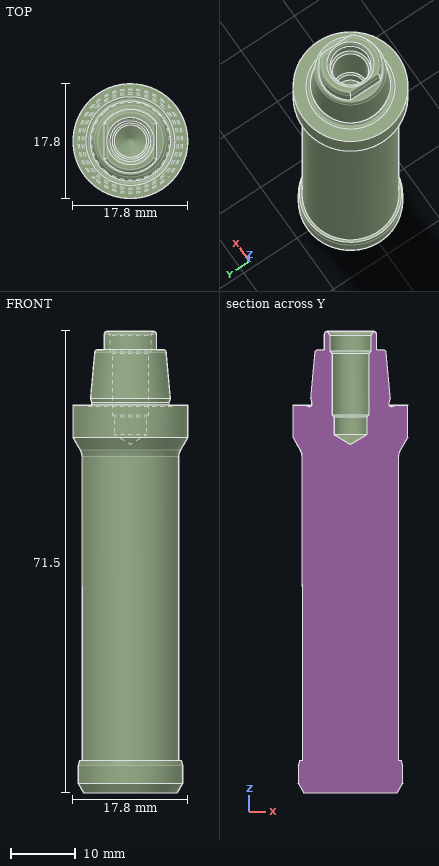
import math

import cadquery as cq

overall_height = 71.45
base_chamfer_top = 1.5
band_bevel_start = 4.3
band_top = 5.05
collar_bottom = 55.0
collar_top = 60.0
neck_top = 60.4
taper_start = 61.0
taper_top = 68.6

tube_radius = 7.5
band_radius = 8.1
collar_radius = 8.9
undercut_outer_radius = 6.87
neck_radius = 6.0
taper_bottom_radius = 6.2
taper_top_radius = 5.5
tip_radius = 4.9

base_chamfer_angle = 30.0
band_bevel_angle = 15.0
collar_underside_angle = 30.0
undercut_face_angle = 25.0

collar_root_round = 2.0
undercut_round = 0.35
taper_top_round = 0.45
tip_round = 0.5

width_across_flats = 8.1

mouth_radius = 3.65
center_cone_radius = 3.38
counterbore_radius = 3.15
bore_radius = 2.8
drill_radius = 2.5
mouth_angle = 45.0
center_cone_angle = 30.0
ledge_angle = 45.0
point_angle = 59.0
counterbore_depth = 3.1
bore_depth = 13.0
drill_depth = 16.0


def slope(angle):
    """Change of radius per unit of height for a cone at this angle from the axis."""
    return math.tan(math.radians(angle))


def revolve_outline(points):
    """Solid of revolution about Z from (radius, height) points that start and end on the axis."""
    return cq.Workplane("XZ").polyline(points).close().revolve(360, (0, 0), (0, 1))


def edges_at_height(body, height):
    """All edges that lie in the horizontal plane at this height."""
    reach = 2 * collar_radius
    margin = 0.01
    slab = cq.selectors.BoxSelector(
        (-reach, -reach, height - margin), (reach, reach, height + margin), boundingbox=True
    )
    return body.edges(slab)


def make_body():
    """Banded tube, collar, undercut and tapered seat, with their rounds."""
    base_radius = band_radius - base_chamfer_top * slope(base_chamfer_angle)
    band_top_radius = band_radius - (band_top - band_bevel_start) * slope(band_bevel_angle)
    collar_root = collar_bottom - (collar_radius - tube_radius) / slope(collar_underside_angle)

    undercut_bottom = collar_top - (undercut_outer_radius - neck_radius) * slope(undercut_face_angle)

    body = revolve_outline([
        (0, 0),
        (base_radius, 0),
        (band_radius, base_chamfer_top),
        (band_radius, band_bevel_start),
        (band_top_radius, band_top),
        (tube_radius, band_top),
        (tube_radius, collar_root),
        (collar_radius, collar_bottom),
        (collar_radius, collar_top),
        (undercut_outer_radius, collar_top),
        (neck_radius, undercut_bottom),
        (neck_radius, neck_top),
        (taper_bottom_radius, taper_start),
        (taper_top_radius, taper_top),
        (0, taper_top),
    ])
    rounds = [
        (collar_root, collar_root_round),
        (undercut_bottom, undercut_round),
        (taper_top, taper_top_round),
    ]
    for height, radius in rounds:
        body = edges_at_height(body, height).fillet(radius)
    return body


def make_tip():
    """Round tip with two flats facing -X and +X and a rounded rim."""
    tip_height = overall_height - taper_top
    tip = cq.Workplane("XY").circle(tip_radius).extrude(tip_height)
    across = cq.Workplane("XY").rect(width_across_flats, 2 * tip_radius).extrude(tip_height)
    tip = tip.intersect(across)
    return tip.faces(">Z").edges().fillet(tip_round).translate((0, 0, taper_top))


def make_hole():
    """Stepped blind hole with a two-stage conical mouth, conical ledges and a drill point."""
    cone_top = overall_height - (mouth_radius - center_cone_radius) / slope(mouth_angle)
    cone_bottom = cone_top - (center_cone_radius - counterbore_radius) / slope(center_cone_angle)
    upper_ledge_top = overall_height - counterbore_depth
    upper_ledge_bottom = upper_ledge_top - (counterbore_radius - bore_radius) / slope(ledge_angle)
    lower_ledge_top = overall_height - bore_depth
    lower_ledge_bottom = lower_ledge_top - (bore_radius - drill_radius) / slope(ledge_angle)
    drill_bottom = overall_height - drill_depth
    return revolve_outline([
        (0, overall_height),
        (mouth_radius, overall_height),
        (center_cone_radius, cone_top),
        (counterbore_radius, cone_bottom),
        (counterbore_radius, upper_ledge_top),
        (bore_radius, upper_ledge_bottom),
        (bore_radius, lower_ledge_top),
        (drill_radius, lower_ledge_bottom),
        (drill_radius, drill_bottom),
        (0, drill_bottom - drill_radius / slope(point_angle)),
    ])


result = make_body().union(make_tip()).cut(make_hole())